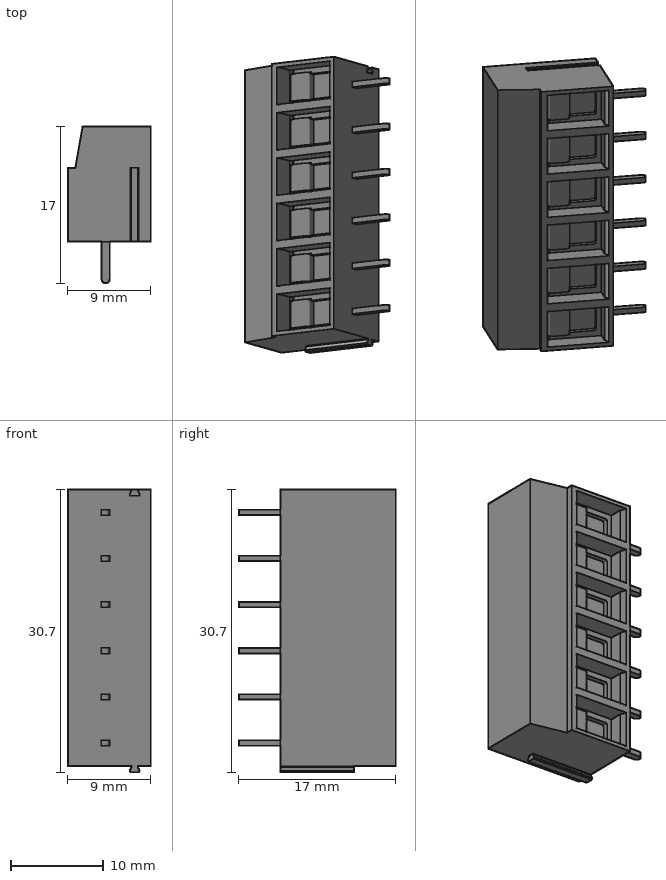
import cadquery as cq
import math


POLES = 6
PITCH = 5.0
LENGTH = POLES * PITCH
WIDTH = 9.0
HEIGHT = 12.5
LEDGE_HEIGHT = 8.0
LEDGE_DEPTH = 0.8
FACE_TILT = 10.0

WINDOW_SPAN = 4.1
WINDOW_BOTTOM = 0.5
WINDOW_TOP = 7.33
FLOOR_X = 2.25
FLARE_DEPTH = 0.75
BOTTOM_FLARE = 0.3
TOP_FLARE = 0.2
WALL_DRAFT = 0.03

PLATE_FRONT_X = 1.68
PLATE_BOTTOM = 4.4
PLATE_TOP = 6.85
PLATE_SPAN = 3.0
PLATE_EDGE_RADIUS = 0.5

POCKET_SPAN = 2.8
POCKET_BOTTOM = 1.4
POCKET_DEPTH = 0.6
POCKET_CORNER_RADIUS = 0.3

NOTCH_SPAN = 3.2
NOTCH_HEIGHT = 0.3

SLOT_BOTTOM = 6.62
SLOT_TOP = 6.82
SLOT_END_DEPTH = 0.5

PIN_X = 4.1
PIN_WIDTH = 0.9
PIN_THICKNESS = 0.6
PIN_LENGTH = 4.5

DOVETAIL_X = 7.24
TAB_HEIGHT = 0.68
TAB_NECK_WIDTH = 0.7
TAB_NECK_HEIGHT = 0.1
TAB_WIDE_HEIGHT = 0.5
TAB_TIP_WIDTH = 0.9
DOVETAIL_WIDTH = 1.1
GROOVE_DEPTH = 0.7
GROOVE_MOUTH_WIDTH = 0.9
GROOVE_NECK_WIDTH = 0.7
GROOVE_NECK_DEPTH = 0.15
GROOVE_WIDE_DEPTH = 0.55


def centred_extrusion(sketch, z_centre, span):
    """Extrude an XY outline by span along Z, centred on z_centre."""
    return sketch.extrude(span).translate((0, 0, z_centre - span / 2))


def housing():
    top_setback = LEDGE_DEPTH + (HEIGHT - LEDGE_HEIGHT) * math.tan(math.radians(FACE_TILT))
    outline = [
        (0, 0),
        (WIDTH, 0),
        (WIDTH, HEIGHT),
        (top_setback, HEIGHT),
        (LEDGE_DEPTH, LEDGE_HEIGHT),
        (0, LEDGE_HEIGHT),
    ]
    return cq.Workplane("XY").polyline(outline).close().extrude(LENGTH)


def window(z_centre):
    """Wire-entry opening with a flared mouth and slightly drafted lower and upper walls."""
    lower_wall_y = WINDOW_BOTTOM + BOTTOM_FLARE
    upper_wall_y = WINDOW_TOP - TOP_FLARE
    outline = [
        (0, WINDOW_BOTTOM),
        (FLARE_DEPTH, lower_wall_y),
        (FLOOR_X, lower_wall_y + WALL_DRAFT),
        (FLOOR_X, upper_wall_y - WALL_DRAFT),
        (FLARE_DEPTH, upper_wall_y),
        (0, WINDOW_TOP),
    ]
    sketch = cq.Workplane("XY").polyline(outline).close()
    return centred_extrusion(sketch, z_centre, WINDOW_SPAN)


def pocket(z_centre):
    """Shallow wire pocket in the window floor, rounded at its two lower corners."""
    corner = (FLOOR_X, POCKET_BOTTOM, z_centre - POCKET_SPAN / 2)
    height = PLATE_BOTTOM - POCKET_BOTTOM
    body = cq.Workplane("XY").box(POCKET_DEPTH, height, POCKET_SPAN, centered=False).translate(corner)
    return body.faces("<Y").edges("|X").fillet(POCKET_CORNER_RADIUS)


def clamp_plate(z_centre):
    """Plate with rounded front edges, set into the back of the window."""
    back_x = FLOOR_X + POCKET_DEPTH
    sketch = cq.Workplane("XY").moveTo(PLATE_FRONT_X, PLATE_BOTTOM).lineTo(back_x, PLATE_BOTTOM)
    sketch = sketch.lineTo(back_x, PLATE_TOP).lineTo(PLATE_FRONT_X, PLATE_TOP).close()
    plate = centred_extrusion(sketch, z_centre, PLATE_SPAN)
    return plate.faces("<X").edges("|Z").fillet(PLATE_EDGE_RADIUS)


def clearance_notch(z_centre):
    """Recess as deep as the pocket that leaves a gap at both ends of the plate's lower edge."""
    corner = (FLOOR_X, PLATE_BOTTOM, z_centre - NOTCH_SPAN / 2)
    notch = cq.Workplane("XY").box(POCKET_DEPTH, NOTCH_HEIGHT, NOTCH_SPAN, centered=False)
    return notch.translate(corner)


def floor_slot(z_centre):
    """Slot with a convex bottom: level with the floor at mid span, deepest at both ends."""
    half_span = WINDOW_SPAN / 2
    end_x = FLOOR_X + SLOT_END_DEPTH
    return (
        cq.Workplane("XZ", origin=(0, SLOT_TOP, z_centre))
        .moveTo(PLATE_FRONT_X, -half_span)
        .lineTo(end_x, -half_span)
        .threePointArc((FLOOR_X, 0), (end_x, half_span))
        .lineTo(PLATE_FRONT_X, half_span)
        .close()
        .extrude(SLOT_TOP - SLOT_BOTTOM)
    )


def pin(z_centre):
    """Flat solder pin with a fully rounded tip."""
    radius = PIN_WIDTH / 2
    shoulder_y = radius - PIN_LENGTH
    sketch = (
        cq.Workplane("XY")
        .moveTo(PIN_X - radius, 0)
        .lineTo(PIN_X - radius, shoulder_y)
        .threePointArc((PIN_X, -PIN_LENGTH), (PIN_X + radius, shoulder_y))
        .lineTo(PIN_X + radius, 0)
        .close()
    )
    return centred_extrusion(sketch, z_centre, PIN_THICKNESS)


def dovetail(z_top, stations):
    """Rail along Y below z_top, from (width, depth) stations of its symmetric section."""
    left = [(DOVETAIL_X - width / 2, z_top - depth) for width, depth in stations]
    right = [(DOVETAIL_X + width / 2, z_top - depth) for width, depth in reversed(stations)]
    return cq.Workplane("XZ").polyline(left + right).close().extrude(-LEDGE_HEIGHT)


tab = dovetail(0, [
    (TAB_NECK_WIDTH, 0),
    (TAB_NECK_WIDTH, TAB_NECK_HEIGHT),
    (DOVETAIL_WIDTH, TAB_WIDE_HEIGHT),
    (TAB_TIP_WIDTH, TAB_HEIGHT),
])
groove = dovetail(LENGTH, [
    (GROOVE_MOUTH_WIDTH, 0),
    (GROOVE_NECK_WIDTH, GROOVE_NECK_DEPTH),
    (DOVETAIL_WIDTH, GROOVE_WIDE_DEPTH),
    (DOVETAIL_WIDTH, GROOVE_DEPTH),
])

result = housing().cut(groove).union(tab)
for pole in range(POLES):
    pole_z = (pole + 0.5) * PITCH
    result = result.cut(window(pole_z)).cut(pocket(pole_z))
    result = result.cut(clearance_notch(pole_z)).cut(floor_slot(pole_z))
    result = result.union(clamp_plate(pole_z)).union(pin(pole_z))